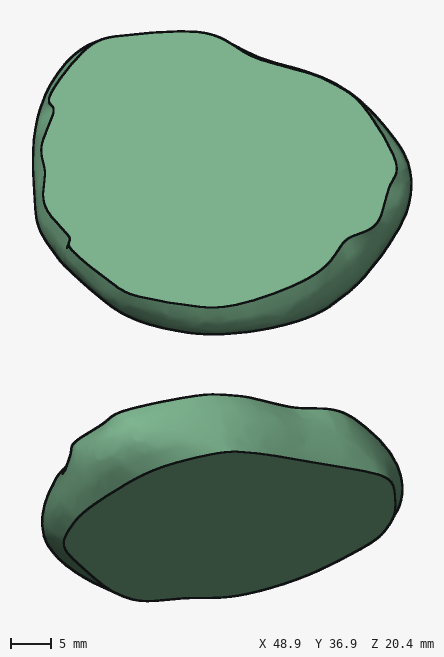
import cadquery as cq


TOP_HEIGHT, TOP_SLOPE = 4.25, 0.41
BASE_HEIGHT, BASE_SLOPE = -4.55, 0.37
WAIST_HEIGHT = (TOP_HEIGHT + BASE_HEIGHT) / 2
WAIST_SLOPE = (TOP_SLOPE + BASE_SLOPE) / 2

TOP_OUTLINE = [
    (1.45, 13.75), (7.55, 14.15), (11.25, 13.75), (15.15, 12.35),
    (21.65, 7.75), (22.5, 4.4), (23.1, -0.3), (20.5, -3.33), (19.05, -8.1),
    (12.22, -14.6), (6.35, -17.1), (-0.35, -18.25), (-4.9, -17.75),
    (-11.25, -15.65), (-12.25, -14.3), (-16.7, -11.9), (-18.75, -8.05), (-20.75, -5.05),
    (-21.3, -0.65), (-22.65, 1), (-21.15, 7.6),
    (-17.1, 11.0), (-9.3, 14.2), (-3.9, 14.2),
]
WAIST_OUTLINE = [
    (1, 16.75), (7.35, 16.9), (12.7, 16.0), (17.6, 13.85),
    (21.75, 11.0), (24.2, 6.6), (24.15, 1.45), (22.5, -3.8), (19.35, -9.8),
    (13.95, -14.43), (6.85, -17.35), (-0.5, -18.15), (-5.4, -17.6),
    (-10.75, -15.8), (-13.2, -14.65), (-17.1, -12.3), (-19.55, -9.2), (-21.65, -5.55),
    (-23.9, -0.5), (-24.35, 4.4), (-23.25, 9.05),
    (-18.6, 12.95), (-11.75, 15.95), (-5.4, 16.9),
]
BASE_OUTLINE = [
    (1, 18.25), (6.85, 18.25), (11.75, 17.85), (15.15, 16.45),
    (19.55, 12.22), (21.5, 6.85), (22, 1), (21.05, -2.95), (18.35, -7.1),
    (12.22, -10.5), (5.4, -13.7), (-1.2, -15.3), (-5.4, -14.2),
    (-8.8, -12.85), (-13.45, -11.4), (-17.25, -8.3), (-19.3, -5.6), (-21.0, -2.2),
    (-22.6, 3.65), (-22.25, 7.35), (-20.55, 10.75),
    (-17.1, 14.55), (-12.7, 17.7), (-5.85, 18.3),
]


def level_wire(outline, height, slope):
    """Closed smooth curve through a plan outline laid on a sloping plane."""
    points = [cq.Vector(x, y, height + slope * y) for x, y in outline]
    stations = list(range(len(points) + 1))
    curve = cq.Edge.makeSpline(points, periodic=True, parameters=stations)
    return cq.Wire.assembleEdges([curve])


levels = [
    level_wire(BASE_OUTLINE, BASE_HEIGHT, BASE_SLOPE),
    level_wire(WAIST_OUTLINE, WAIST_HEIGHT, WAIST_SLOPE),
    level_wire(TOP_OUTLINE, TOP_HEIGHT, TOP_SLOPE),
]

result = cq.Workplane(obj=cq.Solid.makeLoft(levels))